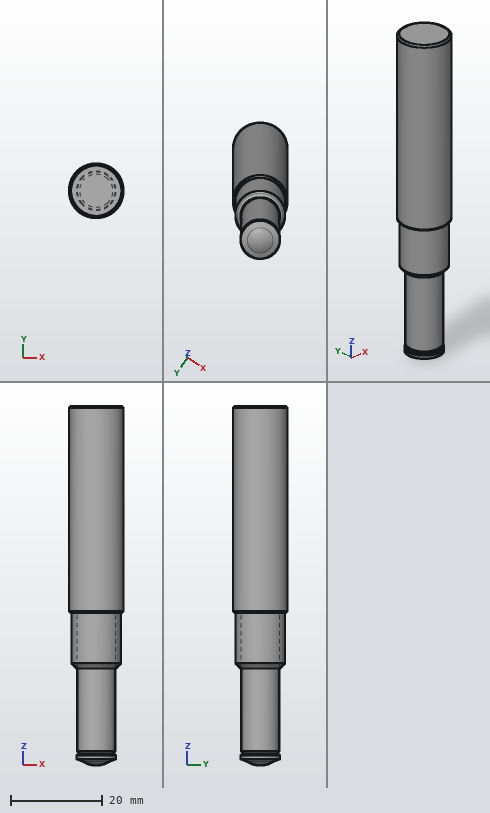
import cadquery as cq
import math

total_length = 79.0
edge_chamfer = 0.5

barrel_radius = 12.0 / 2
barrel_length = 45.5
barrel_bottom = total_length - barrel_length

sleeve_radius = 11.0 / 2
sleeve_length = 11.45
sleeve_bottom = barrel_bottom - sleeve_length
lip_radius = 8.7 / 2
lip_height = 0.7

rod_radius = 8.4 / 2
rod_bottom = 3.15
neck_radius = 7.3 / 2
neck_top = rod_bottom - (rod_radius - neck_radius)
head_radius = 8.7 / 2
head_top = 2.45
head_chamfer = 0.2
head_cone_top = 1.4
nose_radius = 2.85
nose_height = 0.9
nose_mid_radius = nose_radius / 2
nose_sphere_radius = (nose_radius**2 + nose_height**2) / (2 * nose_height)
nose_mid_height = nose_sphere_radius - math.sqrt(nose_sphere_radius**2 - nose_mid_radius**2)


def revolve_profile(profile):
    """Turn a closed (radius, height) half outline about the Z axis."""
    return profile.close().revolve(360, (0, 0, 0), (0, 1, 0))


def make_barrel():
    """Plain cylinder with a chamfered rim at each end."""
    blank = cq.Workplane("XY").workplane(offset=barrel_bottom).circle(barrel_radius).extrude(barrel_length)
    return blank.faces("<Z or >Z").chamfer(edge_chamfer)


def make_sleeve():
    """Bush bored for the rod, chamfered at its lower end, with a tapered lip below."""
    lip_top_radius = sleeve_radius - edge_chamfer
    profile = (
        cq.Workplane("XZ")
        .moveTo(rod_radius, barrel_bottom)
        .lineTo(sleeve_radius, barrel_bottom)
        .lineTo(sleeve_radius, sleeve_bottom + edge_chamfer)
        .lineTo(lip_top_radius, sleeve_bottom)
        .lineTo(lip_radius, sleeve_bottom - lip_height)
        .lineTo(rod_radius, sleeve_bottom - lip_height)
    )
    return revolve_profile(profile)


def make_plunger():
    """Rod ending on the barrel face, with a necked head that tapers to a domed nose."""
    profile = (
        cq.Workplane("XZ")
        .moveTo(0, barrel_bottom)
        .lineTo(rod_radius, barrel_bottom)
        .lineTo(rod_radius, rod_bottom)
        .lineTo(neck_radius, neck_top)
        .lineTo(neck_radius, head_top)
        .lineTo(head_radius - head_chamfer, head_top)
        .lineTo(head_radius, head_top - head_chamfer)
        .lineTo(head_radius, head_cone_top)
        .lineTo(nose_radius, nose_height)
        .threePointArc((nose_mid_radius, nose_mid_height), (0, 0))
    )
    return revolve_profile(profile)


barrel = make_barrel()
sleeve = make_sleeve()
plunger = make_plunger()

result = cq.Compound.makeCompound([barrel.val(), sleeve.val(), plunger.val()])